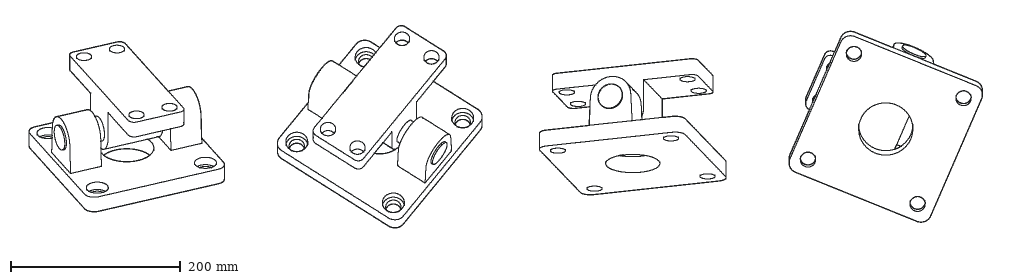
import cadquery as cq
import math

overall_height = 110.0

base_side = 180.0
plate_thickness = 20.0
base_corner_radius = 12.5
base_hole_spacing = 140.0
bolt_hole_diameter = 18.0
counterbore_diameter = 26.0
counterbore_depth = 10.0
center_hole_diameter = 63.9

pivot_height = overall_height / 2
pivot_radius = 25.0
pin_diameter = 30.0
pin_length = 174.0

lug_foot_width = 53.6
lug_span = 170.0
lug_length = 40.0

head_width = 71.3
head_corner_radius = 7.5
head_hole_spacing_x = 149.4
head_hole_spacing_y = 42.7


def cylinder_along_y(diameter, length):
    """Cylinder on the pivot axis, centred on Y = 0."""
    return (
        cq.Workplane("XZ", origin=(0, length / 2, pivot_height))
        .circle(diameter / 2)
        .extrude(length)
    )


def make_lug(y_center):
    """Tapered lug whose flanks run tangentially into its round top."""
    half_foot = lug_foot_width / 2
    axis_rise = pivot_height - plate_thickness
    foot_distance = math.hypot(half_foot, axis_rise)
    tangent_angle = math.acos(pivot_radius / foot_distance) - math.atan2(axis_rise, half_foot)
    tangent_x = pivot_radius * math.cos(tangent_angle)
    tangent_z = pivot_height + pivot_radius * math.sin(tangent_angle)
    return (
        cq.Workplane("XZ", origin=(0, y_center + lug_length / 2, 0))
        .moveTo(-half_foot, plate_thickness)
        .lineTo(half_foot, plate_thickness)
        .lineTo(tangent_x, tangent_z)
        .threePointArc((0, pivot_height + pivot_radius), (-tangent_x, tangent_z))
        .close()
        .extrude(lug_length)
    )


def make_base():
    """Square plate with counterbored bolt holes and two bored lugs."""
    plate = (
        cq.Workplane("XY")
        .rect(base_side, base_side)
        .extrude(plate_thickness)
        .edges("|Z")
        .fillet(base_corner_radius)
    )
    plate = (
        plate.faces(">Z").workplane()
        .rect(base_hole_spacing, base_hole_spacing, forConstruction=True)
        .vertices()
        .cboreHole(bolt_hole_diameter, counterbore_diameter, counterbore_depth)
    )
    base = plate.faces(">Z").workplane().hole(center_hole_diameter)
    lug_offset = (lug_span - lug_length) / 2
    for side in (-1, 1):
        base = base.union(make_lug(side * lug_offset))
    return base.cut(cylinder_along_y(pin_diameter, pin_length))


def make_swivel_head():
    """Mounting plate on a round-bottomed block with its pivot pin."""
    head_underside = overall_height - plate_thickness
    plate = (
        cq.Workplane("XY", origin=(0, 0, head_underside))
        .rect(base_side, head_width)
        .extrude(plate_thickness)
        .edges("|Z")
        .fillet(head_corner_radius)
    )
    plate = (
        plate.faces(">Z").workplane()
        .rect(head_hole_spacing_x, head_hole_spacing_y, forConstruction=True)
        .vertices()
        .hole(bolt_hole_diameter)
    )
    block = (
        cq.Workplane("XY", origin=(0, 0, pivot_height))
        .rect(2 * pivot_radius, head_width)
        .extrude(head_underside - pivot_height)
        .union(cylinder_along_y(2 * pivot_radius, head_width))
    )
    return plate.union(block).union(cylinder_along_y(pin_diameter, pin_length))


base = make_base()
swivel_head = make_swivel_head()
result = cq.Compound.makeCompound([base.solids().val(), swivel_head.solids().val()])